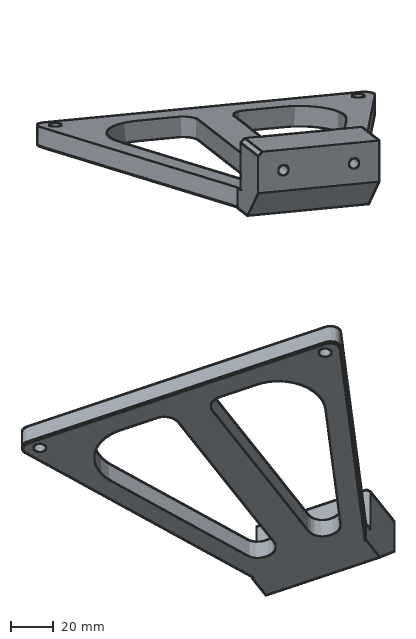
import cadquery as cq
import math

length = 164.5
width = 167.0
height = 35.0

plate_thickness = 10.0
corner_radius = 5.0
taper_end_x = 135.2
bottom_chamfer = 0.7
plate_hole_diameter = 6.0
plate_hole_x = 6.0
plate_hole_y = 75.1

block_width = 60.1
block_depth = 24.7
underside_chamfer = 15.0
block_edge_chamfer = 2.0
block_hole_diameter = 5.0
block_hole_spacing = 35.0
block_hole_z = 25.0

rear_rail_width = 12.0
side_rail_width = 11.0
rib_width = 18.0
window_front_x = 124.4
window_large_radius = 22.0
window_small_radius = 7.5

half_block = block_width / 2
corner_rise = width / 2 - corner_radius - half_block
corner_run = taper_end_x - corner_radius
taper_angle = math.atan2(corner_rise, corner_run) + math.asin(
    corner_radius / math.hypot(corner_run, corner_rise)
)


def taper_y(x, inset=0):
    """Y position of the +Y tapered side at x, moved inward by inset."""
    return half_block + (taper_end_x - x) * math.tan(taper_angle) - inset / math.cos(taper_angle)


def make_plate():
    rear_y = taper_y(0)
    plate = (
        cq.Workplane("XY")
        .polyline([(0, -rear_y), (taper_end_x, -half_block), (taper_end_x, half_block), (0, rear_y)])
        .close()
        .extrude(plate_thickness)
        .edges("|Z and <X")
        .fillet(corner_radius)
    )
    return plate.faces("<Z").edges("not >X").chamfer(bottom_chamfer)


def make_block():
    block_x = length - block_depth
    profile = [
        (taper_end_x, 0),
        (length - underside_chamfer, 0),
        (length, underside_chamfer),
        (length, height),
        (block_x, height),
        (block_x, plate_thickness),
        (taper_end_x, plate_thickness),
    ]
    block = cq.Workplane("XZ").polyline(profile).close().extrude(half_block, both=True)
    block = block.faces(">Z").edges("<Y").chamfer(block_edge_chamfer)
    holes = (
        cq.Workplane("YZ")
        .pushPoints([(side * block_hole_spacing / 2, block_hole_z) for side in (-1, 1)])
        .circle(block_hole_diameter / 2)
        .extrude(length)
    )
    return block.cut(holes)


def make_window():
    """Cutter for the window on the +Y side."""
    rib_y = rib_width / 2
    window = (
        cq.Workplane("XY")
        .moveTo(rear_rail_width, rib_y)
        .lineTo(window_front_x, rib_y)
        .lineTo(window_front_x, taper_y(window_front_x, side_rail_width))
        .lineTo(rear_rail_width, taper_y(rear_rail_width, side_rail_width))
        .close()
        .extrude(plate_thickness)
    )
    window = window.edges("|Z").edges(">Y").fillet(window_large_radius)
    small_corners = window.edges("|Z").edges("<Y or >X")
    return small_corners.fillet(window_small_radius)


plate_holes = (
    cq.Workplane("XY")
    .pushPoints([(plate_hole_x, side * plate_hole_y) for side in (-1, 1)])
    .circle(plate_hole_diameter / 2)
    .extrude(plate_thickness)
)
window = make_window()
plate = make_plate().cut(plate_holes).cut(window).cut(window.mirror("XZ"))

result = plate.union(make_block())